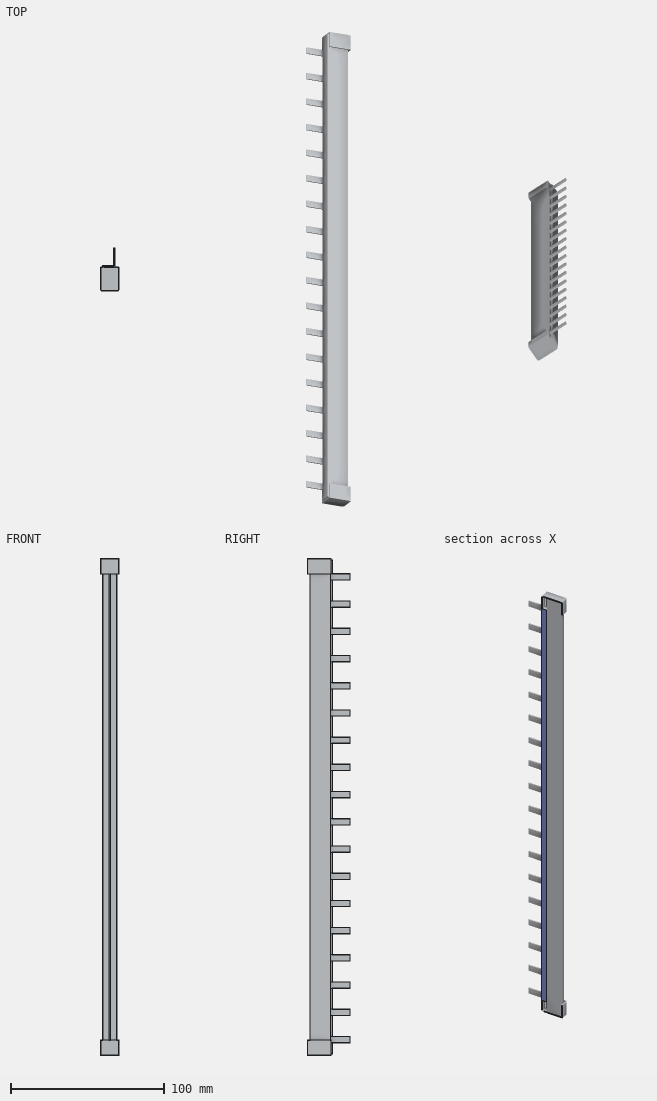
import cadquery as cq

total_length = 324.0

cap_wall = 1.0
cavity_width = 9.8
cap_width = cavity_width + 2 * cap_wall
cap_height = 10.0
cap_front = -14.0
cap_back = 1.5
cap_front_radius = 1.0
cap_back_radius = 0.5

bar_width = 9.5
bar_front = -12.3
bar_back = 2.5
bar_length = total_length - 2 * cap_wall

slot_width = 1.0
channel_width = 7.0
channel_front = -1.5
channel_back = 1.3

pin_count = 18
pin_thickness = 1.0
pin_height = 4.2
pin_tip = 14.0
pin_row_span = 301.5
pin_row_offset = -0.78
pin_pitch = pin_row_span / (pin_count - 1)
pin_right = channel_width / 2
pin_left = pin_right - pin_thickness

conductor_length = pin_row_span + pin_height
conductor_top = pin_row_offset + conductor_length / 2
conductor_bottom = pin_row_offset - conductor_length / 2


def block(x_range, y_range, z_range):
    """Axis-aligned box between the given (low, high) limits."""
    size = [high - low for low, high in (x_range, y_range, z_range)]
    corner = cq.Vector(x_range[0], y_range[0], z_range[0])
    return cq.Workplane(cq.Solid.makeBox(*size, corner))


def centred(length):
    """Limits of a stretch centred on zero."""
    return (-length / 2, length / 2)


def make_bar():
    """Slotted bar with a filled conductor channel that is empty at both ends."""
    bar_z = centred(bar_length)
    bar_bottom, bar_top = bar_z
    bar = block(centred(bar_width), (bar_front, bar_back), bar_z)
    bar = bar.cut(block((pin_left, bar_width / 2), (channel_back, bar_back), bar_z))
    bar = bar.cut(block(centred(slot_width), (bar_front, channel_front), bar_z))
    for empty_z in ((conductor_top, bar_top), (bar_bottom, conductor_bottom)):
        bar = bar.cut(block(centred(channel_width), (channel_front, channel_back), empty_z))
    return bar


def make_pin(top):
    """Flat contact pin reaching back from the conductor, with its upper face at the given height."""
    return block((pin_left, pin_right), (channel_back, pin_tip), (top - pin_height, top))


def make_top_cap():
    """Hood over the top end of the bar, open below and at the back."""
    rim = total_length / 2 - cap_height
    cap = block(centred(cap_width), (cap_front, cap_back), (rim, total_length / 2))
    cap = cap.edges("|Z and <Y").fillet(cap_front_radius)
    cap = cap.edges("|Z and >Y").fillet(cap_back_radius)
    cavity_y = (cap_front + cap_wall, cap_back)
    return cap.cut(block(centred(cavity_width), cavity_y, (rim, bar_length / 2)))


top_cap = make_top_cap()
result = make_bar().union(top_cap).union(top_cap.mirror("XY"))
for index in range(pin_count):
    result = result.union(make_pin(conductor_top - index * pin_pitch))